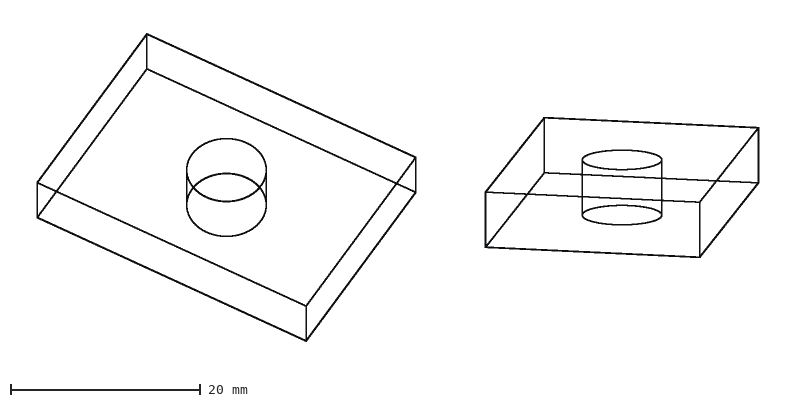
import cadquery as cq

length = 32.8
width = 23.0
thickness = 6.0

hole_diameter = 8.4

result = (
    cq.Workplane("XY")
    .box(length, width, thickness)
    .faces(">Z")
    .workplane()
    .hole(hole_diameter)
)